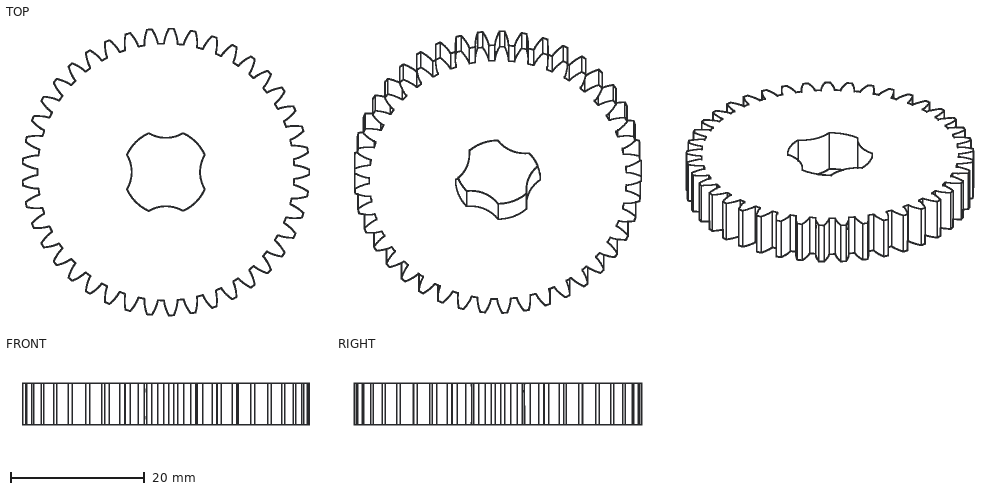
import cadquery as cq
import math

tooth_count = 41
module = 1.0
pressure_angle = math.radians(20)
dedendum_factor = 1.25
thickness = 6.25

pitch_radius = module * tooth_count / 2
base_radius = pitch_radius * math.cos(pressure_angle)
tip_radius = pitch_radius + module
root_radius = pitch_radius - dedendum_factor * module
flank_points = 6

bore_radius = 6.35
lobe_gap = 10.2
lobe_radius = 5.0
lobe_count = 4


def involute(angle):
    """Involute function of a pressure angle in radians."""
    return math.tan(angle) - angle


def polar(radius, angle):
    """Point at a radius and an angle in radians about the gear axis."""
    return (radius * math.cos(angle), radius * math.sin(angle))


def flank_half_angle(radius):
    """Half of the angle a tooth spans at the given radius."""
    local_pressure_angle = math.acos(base_radius / radius)
    half_angle_at_pitch = math.pi / (2 * tooth_count)
    return half_angle_at_pitch + involute(pressure_angle) - involute(local_pressure_angle)


def gear_blank():
    """Solid gear with one tooth centred on the +X axis."""
    step = (tip_radius - base_radius) / (flank_points - 1)
    flank_radii = [base_radius + i * step for i in range(flank_points)]
    tip_half_angle = flank_half_angle(tip_radius)
    base_half_angle = flank_half_angle(base_radius)
    tooth_pitch = 2 * math.pi / tooth_count

    outline = cq.Workplane("XY").moveTo(*polar(root_radius, -base_half_angle))
    for tooth in range(tooth_count):
        centre = tooth * tooth_pitch
        rising = [polar(r, centre - flank_half_angle(r)) for r in flank_radii]
        falling = [polar(r, centre + flank_half_angle(r)) for r in reversed(flank_radii)]
        outline = outline.lineTo(*rising[0])
        outline = outline.spline(rising[1:], includeCurrent=True)
        outline = outline.threePointArc(
            polar(tip_radius, centre), polar(tip_radius, centre + tip_half_angle)
        )
        outline = outline.spline(falling[1:], includeCurrent=True)
        outline = outline.lineTo(*polar(root_radius, centre + base_half_angle))
        outline = outline.threePointArc(
            polar(root_radius, centre + tooth_pitch / 2),
            polar(root_radius, centre + tooth_pitch - base_half_angle),
        )
    return outline.close().extrude(thickness)


def lobed_bore():
    """Cutting tool for the bore: a cylinder with the four lobes taken out."""
    lobe_centre_radius = lobe_gap / 2 + lobe_radius
    lobes = (
        cq.Workplane("XY")
        .polarArray(lobe_centre_radius, 0, 360, lobe_count)
        .circle(lobe_radius)
        .extrude(thickness)
    )
    return cq.Workplane("XY").circle(bore_radius).extrude(thickness).cut(lobes)


result = gear_blank().cut(lobed_bore())